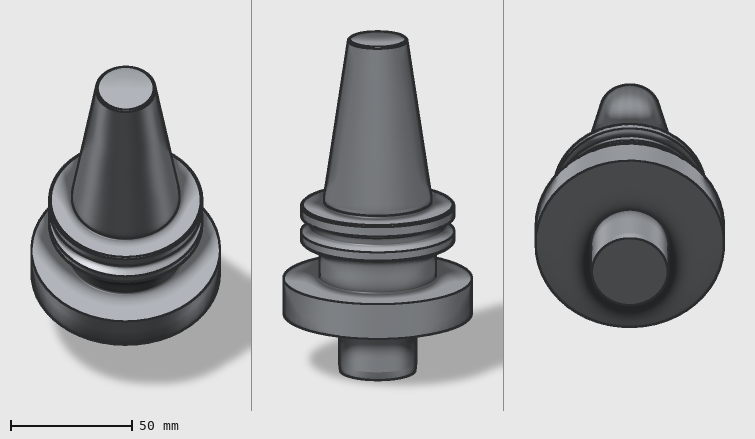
import cadquery as cq

total_height = 142.2
pilot_chamfer_height = 3.4
collar_bottom = 24.5
collar_height = 15.0
flange_bottom = 55.3
flange_top = 71.1
groove_mid = 63.0
groove_mouth_width = 6.8
groove_floor_width = 3.1
gauge_line = 74.3
relief_top = 72.5

pilot_diameter = 32.0
pilot_end_diameter = 31.3
collar_diameter = 78.0
neck_diameter = 48.1
flange_diameter = 63.5
groove_diameter = 56.0
taper_large_diameter = 44.5
taper_small_diameter = 24.6

flange_chamfer = 0.7
neck_fillet = 1.1
neck_base_fillet = 1.0
groove_fillet = 0.9
relief_fillet = 1.0
relief_depth = 0.5
tip_chamfer = 0.7

collar_top = collar_bottom + collar_height
pilot_radius = pilot_diameter / 2
collar_radius = collar_diameter / 2
neck_radius = neck_diameter / 2
flange_radius = flange_diameter / 2
groove_radius = groove_diameter / 2
taper_radius = taper_large_diameter / 2
tip_radius = taper_small_diameter / 2
groove_floor_bottom = groove_mid - groove_floor_width / 2
groove_floor_top = groove_mid + groove_floor_width / 2
relief_radius = taper_radius - relief_depth

profile = (
    cq.Workplane("XZ")
    .lineTo(pilot_end_diameter / 2, 0)
    .lineTo(pilot_radius, pilot_chamfer_height)
    .lineTo(pilot_radius, collar_bottom)
    .lineTo(collar_radius, collar_bottom)
    .lineTo(collar_radius, collar_top)
    .lineTo(neck_radius, collar_top)
    .lineTo(neck_radius, flange_bottom)
    .lineTo(flange_radius - flange_chamfer, flange_bottom)
    .lineTo(flange_radius, flange_bottom + flange_chamfer)
    .lineTo(flange_radius, groove_mid - groove_mouth_width / 2)
    .lineTo(groove_radius, groove_floor_bottom)
    .lineTo(groove_radius, groove_floor_top)
    .lineTo(flange_radius, groove_mid + groove_mouth_width / 2)
    .lineTo(flange_radius, flange_top - flange_chamfer)
    .lineTo(flange_radius - flange_chamfer, flange_top)
    .lineTo(relief_radius, flange_top)
    .lineTo(relief_radius, relief_top)
    .lineTo(taper_radius, relief_top)
    .lineTo(taper_radius, gauge_line)
    .lineTo(tip_radius, total_height - tip_chamfer)
    .lineTo(tip_radius - tip_chamfer, total_height)
    .lineTo(0, total_height)
    .close()
)

body = profile.revolve(360, (0, 0, 0), (0, 1, 0))


def fillet_inner_corner(solid, corner_radius, height, fillet_radius):
    """Round the circular edge found at the given radius and height."""
    margin = 0.01
    half_side = corner_radius + margin
    ring_edges = solid.edges(
        cq.selectors.BoxSelector(
            (-half_side, -half_side, height - margin),
            (half_side, half_side, height + margin),
        )
    ).edges("%CIRCLE")
    matching = [
        edge for edge in ring_edges.vals() if abs(edge.radius() - corner_radius) < margin
    ]
    return solid.newObject(matching).fillet(fillet_radius)


for corner_radius, height, fillet_radius in (
    (neck_radius, collar_top, neck_base_fillet),
    (neck_radius, flange_bottom, neck_fillet),
    (groove_radius, groove_floor_bottom, groove_fillet),
    (groove_radius, groove_floor_top, groove_fillet),
    (relief_radius, flange_top, relief_fillet),
):
    body = fillet_inner_corner(body, corner_radius, height, fillet_radius)

result = body